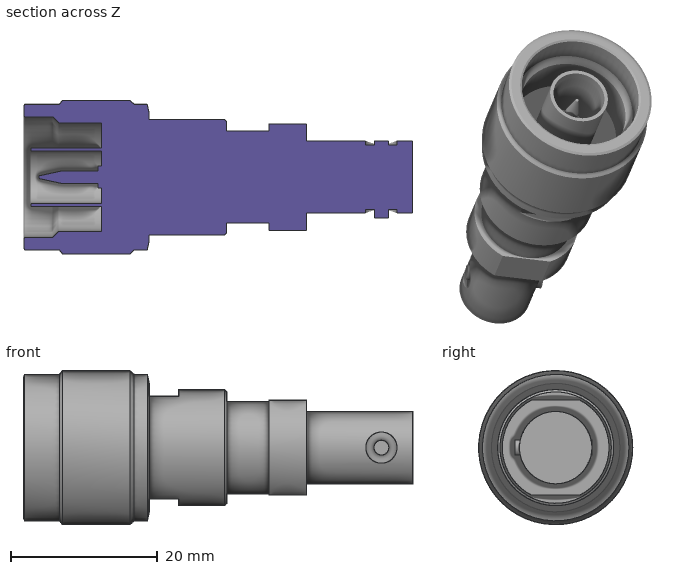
import cadquery as cq

total_length = 53.0

nut_r = 10.5
nut_rim_r = 9.95
nut_rim_edge_x = 0.15
nut_rim_edge_r = 0.3
nut_band_start_x = 4.9
nut_band_end_x = 15.05
nut_front_bevel = 0.4
nut_back_bevel = 0.6
nut_end_x = 17.1
nut_end_bevel_x = 0.25
nut_end_bevel_r = 1.2

bore_r = 8.15
bore_mouth_r = 8.45
bore_mouth_depth = 0.15
inner_bore_r = 7.35
bore_cone_start_x = 4.0
bore_cone_length = bore_r - inner_bore_r
bore_floor_x = 10.6

tube_r = 4.05
tube_bore_r = 3.55
tube_tip_x = 0.95
pin_r = 0.9
pin_tip_x = 2.05
pin_cone_length = 3.2
pin_tip_r = 0.2
pin_shoulder_r = 1.55
pin_shoulder_length = 0.55

body_r = 7.9
body_end_x = 27.65
body_bevel = 0.3
body_flat_height = 7.0
body_flat_end_x = 21.1
neck_r = 6.3
collar_start_x = 33.4
collar_end_x = 38.55
collar_r = 7.25
collar_flat_height = 6.45
barrel_r = 4.95

stud_x = 48.7
stud_r = 1.0
stud_front_reach = 5.55
stud_back_reach = barrel_r
recess_r = 2.1
recess_depth = 0.55


def revolve_about_x(points):
    """Turn a closed (x, radius) outline about the X axis."""
    return cq.Workplane("XY").polyline(points).close().revolve(360, (0, 0, 0), (1, 0, 0))


def make_shell():
    """Outside of the nut, body, collar and barrel as one turned solid."""
    return revolve_about_x([
        (0, 0),
        (0, nut_rim_r - nut_rim_edge_r),
        (nut_rim_edge_x, nut_rim_r),
        (nut_band_start_x, nut_rim_r),
        (nut_band_start_x + nut_front_bevel, nut_r),
        (nut_band_end_x - nut_back_bevel, nut_r),
        (nut_band_end_x, nut_rim_r),
        (nut_end_x - nut_end_bevel_x, nut_rim_r),
        (nut_end_x, nut_rim_r - nut_end_bevel_r),
        (nut_end_x, body_r),
        (body_end_x - body_bevel, body_r),
        (body_end_x, body_r - body_bevel),
        (body_end_x, neck_r),
        (collar_start_x, neck_r),
        (collar_start_x, collar_r),
        (collar_end_x, collar_r),
        (collar_end_x, barrel_r),
        (total_length, barrel_r),
        (total_length, 0),
    ])


def make_nut_bore():
    """Stepped hollow of the nut, with a chamfered mouth and a conical step."""
    return revolve_about_x([
        (0, 0),
        (0, bore_mouth_r),
        (bore_mouth_depth, bore_r),
        (bore_cone_start_x, bore_r),
        (bore_cone_start_x + bore_cone_length, inner_bore_r),
        (bore_floor_x, inner_bore_r),
        (bore_floor_x, 0),
    ])


def make_contact_tube():
    """Thin tube standing on the bore floor."""
    return revolve_about_x([
        (tube_tip_x, tube_bore_r),
        (tube_tip_x, tube_r),
        (bore_floor_x, tube_r),
        (bore_floor_x, tube_bore_r),
    ])


def make_center_pin():
    """Tapered, blunt pin with a shoulder at the bore floor."""
    shoulder_x = bore_floor_x - pin_shoulder_length
    return revolve_about_x([
        (pin_tip_x, 0),
        (pin_tip_x, pin_tip_r),
        (pin_tip_x + pin_cone_length, pin_r),
        (shoulder_x, pin_r),
        (shoulder_x, pin_shoulder_r),
        (bore_floor_x, pin_shoulder_r),
        (bore_floor_x, 0),
    ])


def make_flat_pair(start_x, end_x, height, outer_r):
    """Cutters that leave flats at z = +height and z = -height."""
    length = end_x - start_x
    middle_x = (start_x + end_x) / 2
    slab = cq.Workplane("XY").box(length, 2 * outer_r, 2 * outer_r)
    core = cq.Workplane("XY").box(length, 2 * outer_r, 2 * height)
    return slab.cut(core).translate((middle_x, 0, 0))


def make_radial_cylinder(radius, inner_y, outer_y, side):
    """Cylinder along Y at the stud station; side is -1 for -Y and +1 for +Y."""
    plane = cq.Plane(origin=(stud_x, side * inner_y, 0), xDir=(1, 0, 0), normal=(0, side, 0))
    return cq.Workplane(plane).circle(radius).extrude(outer_y - inner_y)


result = make_shell().cut(make_nut_bore())
result = result.union(make_contact_tube()).union(make_center_pin())

result = result.cut(make_flat_pair(nut_end_x, body_flat_end_x, body_flat_height, body_r))
result = result.cut(make_flat_pair(collar_start_x, collar_end_x, collar_flat_height, collar_r))

recess_floor_y = barrel_r - recess_depth
for side, reach in ((-1, stud_front_reach), (1, stud_back_reach)):
    result = result.cut(make_radial_cylinder(recess_r, recess_floor_y, barrel_r, side))
    stud = make_radial_cylinder(stud_r, recess_floor_y - recess_depth, reach, side)
    result = result.union(stud)